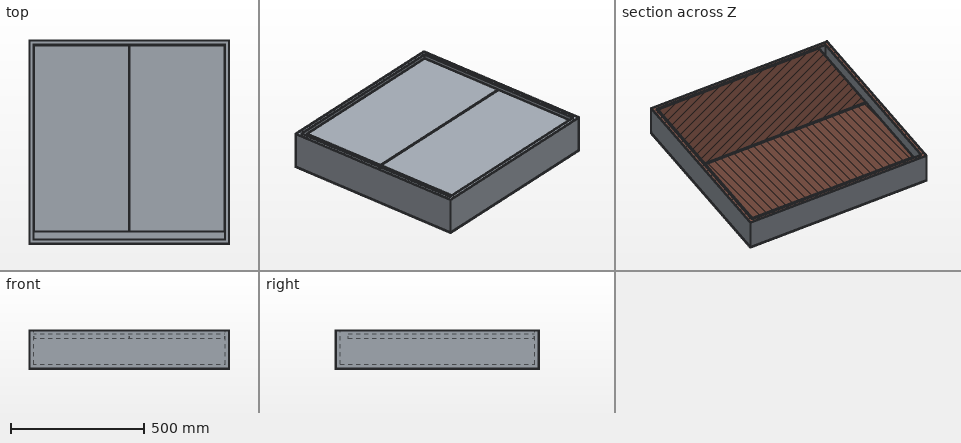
import cadquery as cq

WIDTH = 750.0
LENGTH = 763.0
HEIGHT = 145.0

BOARD = 16.0
DOOR_GAP = 2.0
FRONT_GAP = 30.0
DOOR_RECESS = 14.5

INNER_WIDTH = WIDTH - 2 * BOARD
INNER_LENGTH = LENGTH - 2 * BOARD
DOOR_WIDTH = (INNER_WIDTH - 3 * DOOR_GAP) / 2
DOOR_LENGTH = INNER_LENGTH - FRONT_GAP - DOOR_GAP
DOOR_BOTTOM = HEIGHT - DOOR_RECESS - BOARD
DOOR_OFFSET = (DOOR_WIDTH + DOOR_GAP) / 2
DOOR_CENTER_Y = (FRONT_GAP - DOOR_GAP) / 2


def block(width, length, height, x, y, bottom):
    """Upright box centred at (x, y), standing on the given bottom level."""
    return (
        cq.Workplane("XY", origin=(x, y, bottom))
        .box(width, length, height, centered=(True, True, False))
    )


def make_cabinet():
    """Open box with walls and back of equal thickness."""
    outside = block(WIDTH, LENGTH, HEIGHT, 0, 0, 0)
    cavity = block(INNER_WIDTH, INNER_LENGTH, HEIGHT - BOARD, 0, 0, BOARD)
    return outside.cut(cavity)


def make_door(x):
    """Flat door set into the opening, centred at x."""
    return block(DOOR_WIDTH, DOOR_LENGTH, BOARD, x, DOOR_CENTER_Y, DOOR_BOTTOM)


cabinet = make_cabinet()
doors = [make_door(side * DOOR_OFFSET) for side in (-1, 1)]

result = cq.Compound.makeCompound([cabinet.val(), *[door.val() for door in doors]])